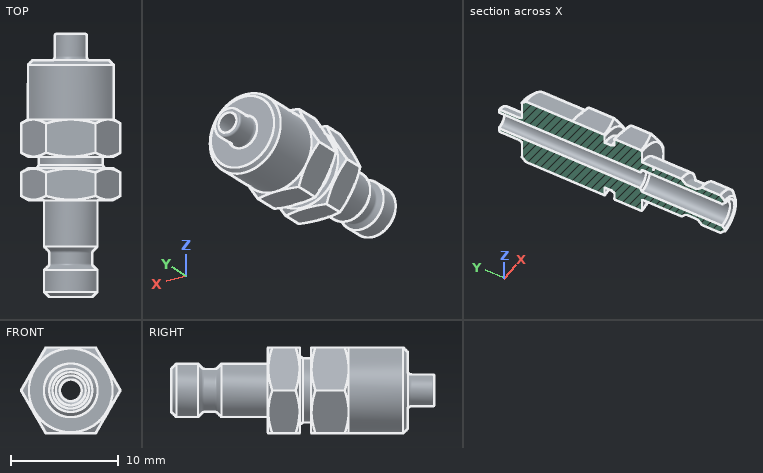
import cadquery as cq
import math

LENGTH = 24.5
ACROSS_FLATS = 8.0

BODY_END = 22.03
HEX_LENGTH = 3.5
HEX_START = 13.0
HEX_END = HEX_START + HEX_LENGTH
NUT_LENGTH = 3.01
NUT_START = 9.0
NUT_END = NUT_START + NUT_LENGTH
GROOVE_START = 2.5
GROOVE_END = 4.7

PLUG_RADIUS = 2.5
GROOVE_RADIUS = 2.0
NECK_RADIUS = 3.0
BODY_RADIUS = ACROSS_FLATS / 2
PIN_RADIUS = 1.5

EDGE_CHAMFER = 0.5
GROOVE_FILLET = 0.3
NECK_FLARE_LENGTH = 0.27
NECK_FLARE_HEIGHT = 0.17
PIN_FLARE_RADIUS = 0.51
PIN_FLARE_ANGLE = 45.0
BODY_CHAMFER = 0.45
PIN_EDGE_FILLET = 0.2
HEX_FACE_RADIUS = 3.9
HEX_CHAMFER_ANGLE = 30.0

THROUGH_RADIUS = 1.0
BORE_RADIUS = 1.4
BORE_DEPTH = NUT_START
BORE_MOUTH_RADIUS = 1.7
BORE_CONE_ANGLE = 65.0


def revolve_about_y(profile):
    """Turn a closed XY half profile around the Y axis."""
    return profile.close().revolve(360, (0, 0, 0), (0, 1, 0))


def groove_floor_fillet(profile, corner, leaving):
    """Draw up to and around one rounded corner between the groove floor and its 45 degree side."""
    half_angle = math.radians(22.5)
    tangent = GROOVE_FILLET * math.tan(half_angle)
    sagitta = GROOVE_FILLET * (1 / math.cos(half_angle) - 1)
    side = 1 if leaving else -1
    slope_point = (GROOVE_RADIUS + tangent * math.sin(math.pi / 4),
                   corner + side * tangent * math.cos(math.pi / 4))
    floor_point = (GROOVE_RADIUS, corner - side * tangent)
    middle = (GROOVE_RADIUS + sagitta * math.cos(half_angle),
              corner - side * sagitta * math.sin(half_angle))
    first, last = (floor_point, slope_point) if leaving else (slope_point, floor_point)
    return profile.lineTo(*first).threePointArc(middle, last)


def pin_flare_point(degrees):
    """Point on the concave flare at the pin root; zero degrees is where it meets the pin."""
    angle = math.radians(degrees)
    flare_length = PIN_FLARE_RADIUS * math.sin(math.radians(PIN_FLARE_ANGLE))
    return (PIN_RADIUS + PIN_FLARE_RADIUS * (1 - math.cos(angle)),
            BODY_END + flare_length - PIN_FLARE_RADIUS * math.sin(angle))


def turned_body():
    """Plug with its groove, neck, large body and rear pin."""
    groove_depth = PLUG_RADIUS - GROOVE_RADIUS
    profile = (
        cq.Workplane("XY")
        .lineTo(PLUG_RADIUS - EDGE_CHAMFER, 0)
        .lineTo(PLUG_RADIUS, EDGE_CHAMFER)
        .lineTo(PLUG_RADIUS, GROOVE_START)
    )
    profile = groove_floor_fillet(profile, GROOVE_START + groove_depth, leaving=False)
    profile = groove_floor_fillet(profile, GROOVE_END - groove_depth, leaving=True)
    profile = (
        profile.lineTo(PLUG_RADIUS, GROOVE_END)
        .lineTo(PLUG_RADIUS, NUT_END)
        .lineTo(NECK_RADIUS + NECK_FLARE_HEIGHT, NUT_END)
        .lineTo(NECK_RADIUS, NUT_END + NECK_FLARE_LENGTH)
        .lineTo(NECK_RADIUS, HEX_START)
        .lineTo(HEX_FACE_RADIUS, HEX_START)
        .lineTo(BODY_RADIUS, HEX_END)
        .lineTo(BODY_RADIUS, BODY_END - BODY_CHAMFER)
        .lineTo(BODY_RADIUS - BODY_CHAMFER, BODY_END)
        .lineTo(*pin_flare_point(PIN_FLARE_ANGLE))
        .threePointArc(pin_flare_point(PIN_FLARE_ANGLE / 2), pin_flare_point(0))
        .lineTo(PIN_RADIUS, LENGTH)
        .lineTo(0, LENGTH)
    )
    return revolve_about_y(profile).faces(">Y").edges().fillet(PIN_EDGE_FILLET)


def chamfered_hexagon(start, end, front_radius, rear_radius):
    """Hexagon with corners on X, its ends trimmed by cones starting at the given face radii."""
    corner_radius = ACROSS_FLATS / math.sqrt(3)
    slope = math.tan(math.radians(HEX_CHAMFER_ANGLE))
    hexagon = (
        cq.Workplane("XZ", origin=(0, start, 0))
        .polygon(6, 2 * corner_radius)
        .extrude(start - end)
    )
    envelope = revolve_about_y(
        cq.Workplane("XY")
        .moveTo(0, start)
        .lineTo(front_radius, start)
        .lineTo(corner_radius, start + (corner_radius - front_radius) * slope)
        .lineTo(corner_radius, end - (corner_radius - rear_radius) * slope)
        .lineTo(rear_radius, end)
        .lineTo(0, end)
    )
    return hexagon.intersect(envelope)


def stepped_bore():
    """Wide bore with a chamfered mouth and a conical floor, leading into the through hole."""
    mouth_depth = BORE_MOUTH_RADIUS - BORE_RADIUS
    cone_depth = (BORE_RADIUS - THROUGH_RADIUS) / math.tan(math.radians(BORE_CONE_ANGLE))
    return revolve_about_y(
        cq.Workplane("XY")
        .lineTo(BORE_MOUTH_RADIUS, 0)
        .lineTo(BORE_RADIUS, mouth_depth)
        .lineTo(BORE_RADIUS, BORE_DEPTH)
        .lineTo(THROUGH_RADIUS, BORE_DEPTH + cone_depth)
        .lineTo(THROUGH_RADIUS, LENGTH)
        .lineTo(0, LENGTH)
    )


nut = chamfered_hexagon(NUT_START, NUT_END, HEX_FACE_RADIUS, HEX_FACE_RADIUS)
body_hexagon = chamfered_hexagon(HEX_START, HEX_END, HEX_FACE_RADIUS, BODY_RADIUS)
fitting = turned_body().union(nut).union(body_hexagon).cut(stepped_bore())

result = fitting.translate((0, -LENGTH / 2, 0))